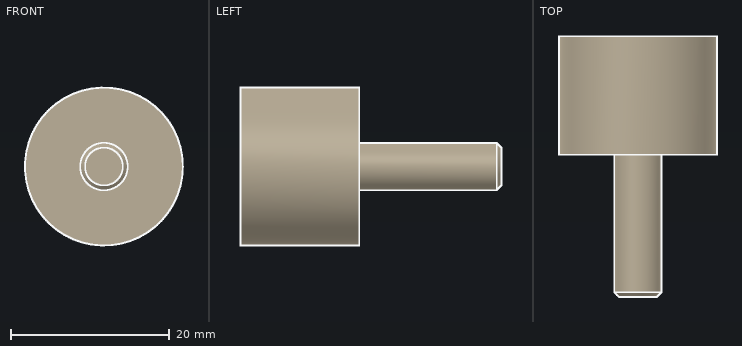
import cadquery as cq

total_length = 33.0
body_diameter = 20.0
body_length = 15.0
stud_diameter = 6.0
stud_tip_diameter = 4.8

stud_length = total_length - body_length
tip_chamfer = (stud_diameter - stud_tip_diameter) / 2

body = cq.Workplane("XZ").circle(body_diameter / 2).extrude(-body_length)

stud = (
    cq.Workplane("XZ")
    .circle(stud_diameter / 2)
    .extrude(stud_length)
    .faces("<Y")
    .chamfer(tip_chamfer)
)

result = body.union(stud)